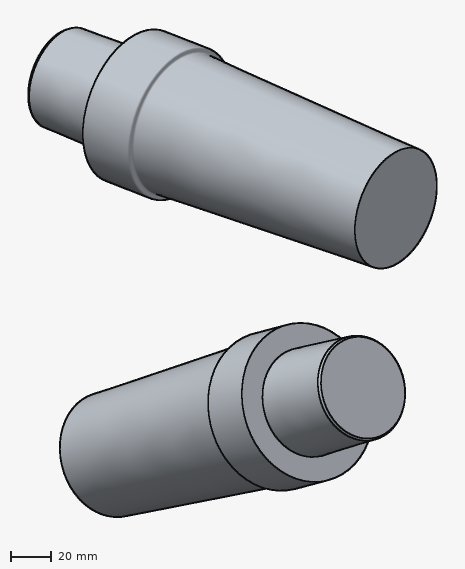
import cadquery as cq
import math

overall_length = 218.2

stub_length = 48.0
stub_nose_radius = 26.43
chamfer_length = 1.5
chamfer_angle = 30.0
chamfer_depth = chamfer_length * math.tan(math.radians(chamfer_angle))
neck_radius = 27.5
neck_length = 1.5

collar_length = 30.0
collar_radius = 40.0
rim_round = 1.0

root_radius = 36.95
root_fillet = 1.0
shank_end_radius = 31.5
shank_end = overall_length - stub_length

arc_inset = 1 - math.sqrt(0.5)


def add_stub(outline):
    """Trace the stub from the nose centre to the foot of its neck."""
    return (
        outline.moveTo(-stub_length, 0)
        .lineTo(-stub_length, stub_nose_radius - chamfer_depth)
        .lineTo(-stub_length + chamfer_length, stub_nose_radius)
        .lineTo(-neck_length, neck_radius)
        .lineTo(0, neck_radius)
    )


def add_collar(outline):
    """Trace the collar up its front face and over the rounded rear rim."""
    rim_middle = (collar_length - rim_round * arc_inset, collar_radius - rim_round * arc_inset)
    return (
        outline.lineTo(0, collar_radius)
        .lineTo(collar_length - rim_round, collar_radius)
        .threePointArc(rim_middle, (collar_length, collar_radius - rim_round))
    )


def add_shank(outline):
    """Trace the root fillet and the tapered shank down to the axis."""
    fillet_middle = (collar_length + root_fillet * arc_inset, root_radius + root_fillet * arc_inset)
    return (
        outline.lineTo(collar_length, root_radius + root_fillet)
        .threePointArc(fillet_middle, (collar_length + root_fillet, root_radius))
        .lineTo(shank_end, shank_end_radius)
        .lineTo(shank_end, 0)
    )


half_profile = add_shank(add_collar(add_stub(cq.Workplane("XZ")))).close()
result = half_profile.revolve(360, (0, 0, 0), (1, 0, 0))